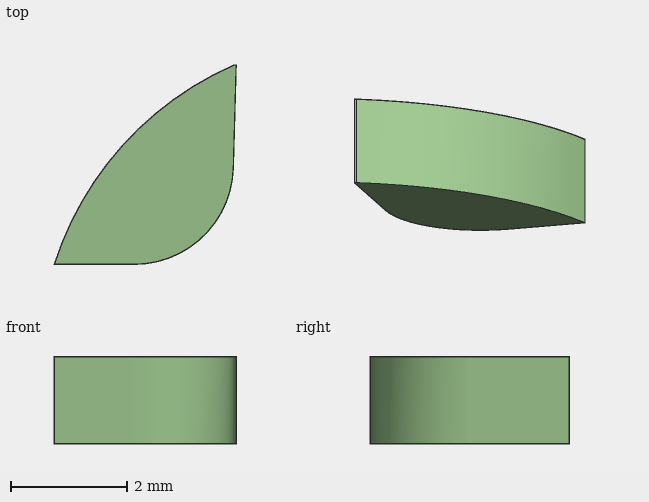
import cadquery as cq
import math

width = 3.13
length = 3.43
height = 1.5

bottom_edge = 1.375
side_lean = 1.6
tip_flat = 0.04
back_radius = 5.608

lean = math.radians(side_lean)
corner_radius = (
    (width - bottom_edge - length * math.tan(lean)) * math.cos(lean)
    / (1 - math.sin(lean))
)


def corner_point(angle):
    """Point on the rounded corner at an angle measured from the +X direction."""
    return (
        bottom_edge + corner_radius * math.cos(angle),
        corner_radius + corner_radius * math.sin(angle),
    )


corner_end_angle = -lean
corner_middle_angle = (corner_end_angle - math.pi / 2) / 2

half_chord = math.hypot(width - tip_flat, length) / 2
back_sagitta = back_radius - math.sqrt(back_radius**2 - half_chord**2)

result = (
    cq.Workplane("XY")
    .lineTo(bottom_edge, 0)
    .threePointArc(corner_point(corner_middle_angle), corner_point(corner_end_angle))
    .lineTo(width, length)
    .lineTo(width - tip_flat, length)
    .sagittaArc((0, 0), -back_sagitta)
    .close()
    .extrude(height)
)